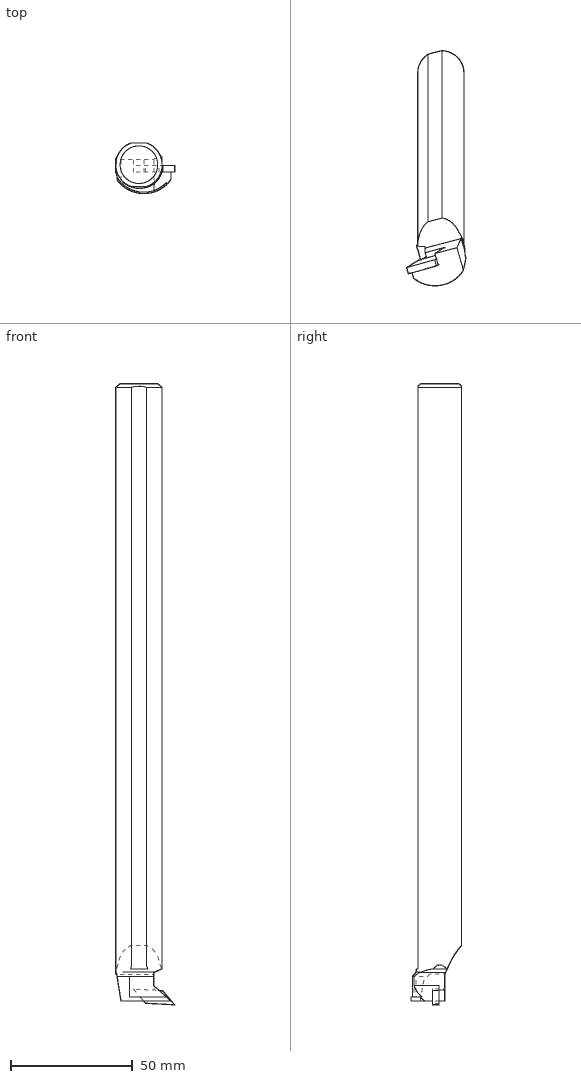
import cadquery as cq
import math

TOTAL_LENGTH = 255.2
SHANK_RADIUS = 9.52
FLAT_DISTANCE = 9.0
CHAMFER_RADIAL = 1.8
CHAMFER_AXIAL = 1.5
SHANK_BOTTOM = 16.3

HEAD_X = 2.0
HEAD_Y = 1.6
HEAD_RADIUS = 13.5
HEAD_BOTTOM = 1.5
HEAD_TOP = 11.7
COLLAR_Z = 13.5
COLLAR_X = 0.3
COLLAR_Y = 0.3
COLLAR_RADIUS = 10.03
FLAT_BOTTOM = 14.8
RELIEF_RADIUS = 12.9
RELIEF_LEFT = -3.8
LIP_TOP = 3.3

NECK_X = 6.0
NECK_TOP = 13.3
NECK_BOTTOM = 8.0
SHOULDER_Z = 14.8
BACK_TOP_X = -9.2
BACK_BOTTOM_X = -7.5
BACK_TOP_Z = 12.8
NOSE_X = 13.3

FACE_Y = 2.0
SCOOP_START_Z = 12.5
SCOOP_TOP = 25.0
SCOOP_MID_Y = 6.0
SCOOP_MID_Z = 20.7
SCOOP_END_Y = 3.5
SCOOP_END_Z = 15.8

TIP_X = 14.73
INSERT_FRONT = -0.3
INSERT_THICKNESS = 2.8
INSERT_LONG_SIDE = 12.0
INSERT_SHORT_SIDE = 7.7
LONG_SIDE_ANGLE = 3.0
SHORT_SIDE_ANGLE = 50.0

CUT_SIZE = 51.0


def offset_from_tip(length, angle):
    """X and Z step along a side that rises away from the cutting tip."""
    return -length * math.cos(math.radians(angle)), length * math.sin(math.radians(angle))


def extrude_insert_outline(front, back):
    """Parallelogram of the insert, extruded from y = back to y = front."""
    long_x, long_z = offset_from_tip(INSERT_LONG_SIDE, LONG_SIDE_ANGLE)
    short_x, short_z = offset_from_tip(INSERT_SHORT_SIDE, SHORT_SIDE_ANGLE)
    corners = [
        (TIP_X, 0),
        (TIP_X + long_x, long_z),
        (TIP_X + long_x + short_x, long_z + short_z),
        (TIP_X + short_x, short_z),
    ]
    return cq.Workplane("XZ", origin=(0, front, 0)).polyline(corners).close().extrude(front - back)


def make_shank():
    """Round bar with a chamfered upper end."""
    profile = [
        (0, SHANK_BOTTOM),
        (SHANK_RADIUS, SHANK_BOTTOM),
        (SHANK_RADIUS, TOTAL_LENGTH - CHAMFER_AXIAL),
        (SHANK_RADIUS - CHAMFER_RADIAL, TOTAL_LENGTH),
        (0, TOTAL_LENGTH),
    ]
    return cq.Workplane("XZ").polyline(profile).close().revolve(360, (0, 0, 0), (0, 1, 0))


def make_side_flats():
    """Pair of cutters that leave parallel flats on the -Y and +Y sides of the shank."""
    cutter = cq.Workplane("XY", origin=(0, FLAT_DISTANCE + CUT_SIZE / 2, FLAT_BOTTOM)).box(
        CUT_SIZE, CUT_SIZE, TOTAL_LENGTH, centered=(True, True, False)
    )
    return cutter.union(cutter.mirror("XZ"))


def ring(x, y, z, radius):
    """Horizontal circle used as a section of the collar."""
    return cq.Wire.makeCircle(radius, cq.Vector(x, y, z), cq.Vector(0, 0, 1))


def make_head():
    """Offset rounded head with a lower lip, joined to the shank by a flared collar."""
    head = (
        cq.Workplane("XY", origin=(HEAD_X, HEAD_Y, HEAD_BOTTOM))
        .circle(HEAD_RADIUS)
        .extrude(HEAD_TOP - HEAD_BOTTOM)
    )
    relief = (
        cq.Workplane("XY", origin=(HEAD_X, HEAD_Y, LIP_TOP))
        .circle(CUT_SIZE / 2)
        .circle(RELIEF_RADIUS)
        .extrude(HEAD_TOP - LIP_TOP)
    )
    relief_zone = cq.Workplane("XY").box(CUT_SIZE, CUT_SIZE, CUT_SIZE, centered=(False, True, True))
    head = head.cut(relief.intersect(relief_zone.translate((RELIEF_LEFT, 0, 0))))
    head_ring = ring(HEAD_X, HEAD_Y, HEAD_TOP, RELIEF_RADIUS)
    collar_ring = ring(COLLAR_X, COLLAR_Y, COLLAR_Z, COLLAR_RADIUS)
    shank_ring = ring(0, 0, SHANK_BOTTOM, SHANK_RADIUS)
    steep_collar = cq.Solid.makeLoft([head_ring, collar_ring], True)
    gentle_collar = cq.Solid.makeLoft([collar_ring, shank_ring], True)
    return head.union(cq.Workplane(steep_collar)).union(cq.Workplane(gentle_collar))


def make_side_envelope():
    """Outline in XZ: tapered back, neck and the nose that carries the insert."""
    outline = [
        (BACK_BOTTOM_X, HEAD_BOTTOM),
        (BACK_TOP_X, BACK_TOP_Z),
        (-SHANK_RADIUS, BACK_TOP_Z),
        (-SHANK_RADIUS, TOTAL_LENGTH),
        (SHANK_RADIUS, TOTAL_LENGTH),
        (SHANK_RADIUS, SHOULDER_Z),
        (NECK_X, NECK_TOP),
        (NECK_X, NECK_BOTTOM),
        (NOSE_X, HEAD_BOTTOM),
    ]
    return cq.Workplane("XZ").polyline(outline).close().extrude(CUT_SIZE / 2, both=True)


def make_chip_scoop():
    """Material removed in front of the head, running out in an arc on the shank."""
    return (
        cq.Workplane("YZ")
        .moveTo(FACE_Y, 0)
        .lineTo(FACE_Y, SCOOP_START_Z)
        .lineTo(SCOOP_END_Y, SCOOP_END_Z)
        .threePointArc((SCOOP_MID_Y, SCOOP_MID_Z), (SHANK_RADIUS, SCOOP_TOP))
        .lineTo(CUT_SIZE, SCOOP_TOP)
        .lineTo(CUT_SIZE, 0)
        .close()
        .extrude(CUT_SIZE / 2, both=True)
    )


def make_nose_step():
    """Clears the nose beside the neck down to the front of the insert."""
    return cq.Workplane("XY").box(CUT_SIZE, CUT_SIZE, NECK_TOP, centered=False).translate(
        (NECK_X, INSERT_FRONT, 0)
    )


insert_back = INSERT_FRONT - INSERT_THICKNESS
insert = extrude_insert_outline(INSERT_FRONT, insert_back)
insert_pocket = extrude_insert_outline(FACE_Y, insert_back)

holder = make_shank().union(make_head()).cut(make_side_flats())
holder = holder.intersect(make_side_envelope())
holder = holder.cut(make_chip_scoop()).cut(make_nose_step()).cut(insert_pocket)

result = cq.Compound.makeCompound([holder.val(), insert.val()])